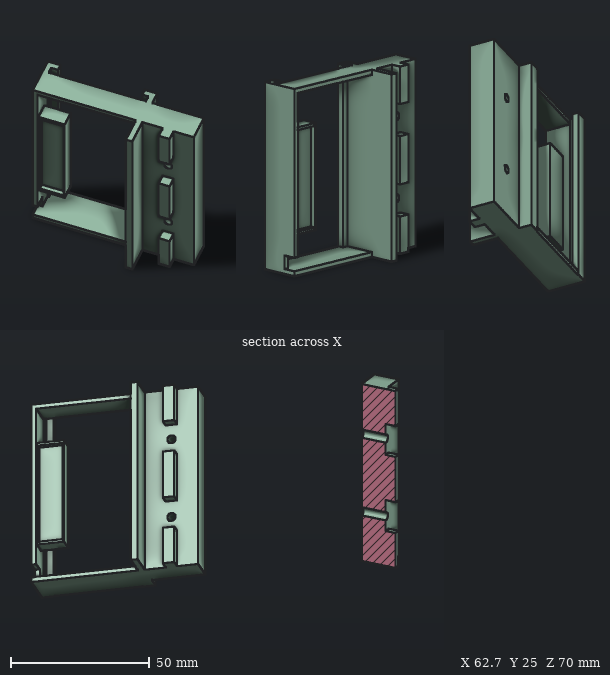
import cadquery as cq

height = 70.0
width = 62.7
frame_depth = 10.0
mid_z = height / 2

wall = 1.9
window_right = 40.1

back_y = 15.0
rail_right = 42.7
left_rail_wall = 2.4
right_rail_wall = rail_right - window_right
lip_thickness = 2.6
left_lip_edge = 5.05
right_lip_edge = 37.7
stop_setback = 0.3

divider_reach = 10.0

strip_center = (rail_right + width) / 2
rib_width = 4.3
rib_left = strip_center - rib_width / 2
rib_reach = 4.0
end_rib_length = 14.0
middle_rib_length = 18.05
hole_diameter = 3.0
hole_spacing = 30.65

tray_right = 12.1
tray_length = 40.05
tray_front = 1.0
tray_depth = 6.0
tray_side_wall = 0.525
tray_end_wall = 1.05
tray_pocket_depth = 2.0

notch_depth = 5.0
notch_top = 6.85


def block(x, y, z):
    """Box spanning the given (low, high) pair on each axis."""
    size = [high - low for low, high in (x, y, z)]
    return cq.Workplane("XY").box(*size, centered=False).translate((x[0], y[0], z[0]))


def make_frame():
    body = block((0, width), (0, frame_depth), (0, height))
    window = block((wall, window_right), (0, frame_depth), (wall, height - wall))
    return body.cut(window)


def make_rails():
    """Two facing L-shaped rails, closed at the bottom by a panel stop."""
    full_height = (0, height)
    rail_depth = (frame_depth, back_y)
    lip_depth = (back_y - lip_thickness, back_y)
    left = block((0, left_rail_wall), rail_depth, full_height)
    left_lip = block((0, left_lip_edge), lip_depth, full_height)
    right = block((rail_right - right_rail_wall, rail_right), rail_depth, full_height)
    right_lip = block((right_lip_edge, rail_right), lip_depth, full_height)
    stop = block((0, rail_right), (frame_depth, back_y - stop_setback), (0, wall))
    return left.union(left_lip).union(right).union(right_lip).union(stop)


def make_ribs():
    """A rib at each end of the strip and one in the middle."""
    spans = [
        (0, end_rib_length),
        (mid_z - middle_rib_length / 2, mid_z + middle_rib_length / 2),
        (height - end_rib_length, height),
    ]
    ribs = cq.Workplane("XY")
    for span in spans:
        ribs = ribs.union(block((rib_left, rib_left + rib_width), (-rib_reach, 0), span))
    return ribs


def make_tray():
    """Shallow tray open to the front, its left side against the frame wall."""
    bottom = mid_z - tray_length / 2
    top = mid_z + tray_length / 2
    body = block((wall, tray_right), (tray_front, tray_front + tray_depth), (bottom, top))
    pocket = block(
        (wall + tray_side_wall, tray_right - tray_side_wall),
        (tray_front, tray_front + tray_pocket_depth),
        (bottom + tray_end_wall, top - tray_end_wall),
    )
    return body.cut(pocket)


def make_screw_holes():
    half_spacing = hole_spacing / 2
    return (
        cq.Workplane("XZ", origin=(strip_center, 0, mid_z))
        .pushPoints([(0, -half_spacing), (0, half_spacing)])
        .circle(hole_diameter / 2)
        .extrude(-frame_depth)
    )


divider = block((window_right, rail_right), (-divider_reach, 0), (0, height))
notch = block((0, wall), (0, notch_depth), (wall, notch_top))

result = make_frame().union(make_rails()).union(divider).union(make_ribs())
result = result.union(make_tray()).cut(make_screw_holes()).cut(notch)